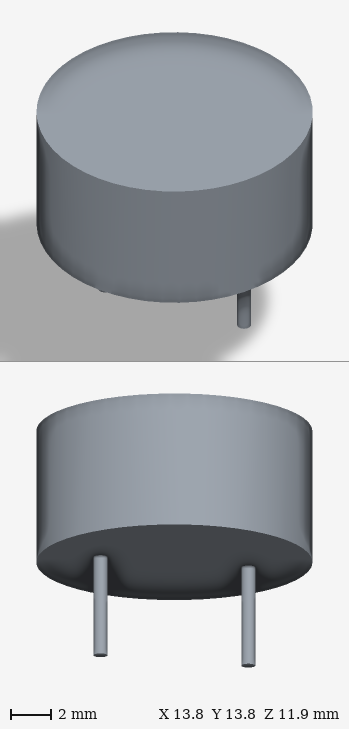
import cadquery as cq

housing_diameter = 13.8
overall_height = 11.9
pin_length = 5.1
housing_height = overall_height - pin_length

pin_diameter = 0.7
pin_spacing = 7.62


def make_housing():
    """Plain cylinder whose bottom face rests on Z = 0."""
    return cq.Workplane("XY").circle(housing_diameter / 2).extrude(housing_height)


def make_pin(x):
    """Round pin hanging from the underside of the housing."""
    return cq.Workplane("XY").center(x, 0).circle(pin_diameter / 2).extrude(-pin_length)


housing = make_housing()

pins = []
for side in (-1, 1):
    pins.append(make_pin(side * pin_spacing / 2))

result = cq.Compound.makeCompound([housing.val(), *[pin.val() for pin in pins]])